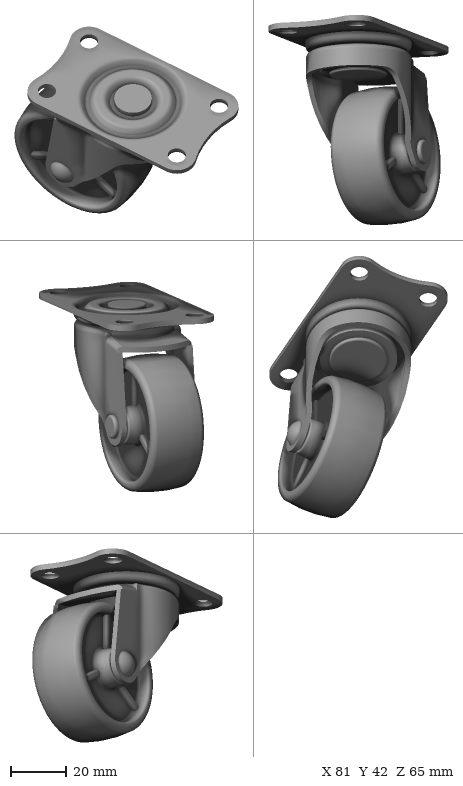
import cadquery as cq
import math


total_height = 65.0
sheet = 2.0
wheel_radius = 25.0
wheel_x = -21.0
wheel_z = wheel_radius
far = 100.0
front_limit = -far / 2

plate_width = 42.0
hole_x = 28.0
hole_y = 14.0
hole_radius = 3.3
corner_radius = plate_width / 2 - hole_y
waist_half_length = 32.6
plate_bottom = total_height - sheet
trench_outer = 20.1
trench_inner = 12.9
well_outer = 11.15
pressed_wall_angle = 45.0
wall_bend_width = 1.45
wall_width = 1.4
plate_boss_radius = 19.4
plate_boss_taper = 8.0
plate_boss_bend = 1.9
plate_boss_bottom = 59.65

tower_radius = 19.0
tower_top = 58.9
tower_bend = 1.9
neck_front = -14.25
neck_inner_front = neck_front + sheet / 2
leg_half_width = 15.0
leg_blend = 4.0
leg_end_radius = 7.0
leg_front_top = (-24.3, 53.0)
rear_edge_angle = 53.8
lip_z = 50.6
lip_blend = 8.0
roof_angle = 10.0
roof_ref = (-24.6, 54.85)
roof_bend = 2.0
roof_nose_x = -26.9
roof_nose_radius = 34.0
boss_radius = 14.0
boss_bottom = 51.7

pin_radius = 6.8
race_major = 11.9
race_minor = 2.4
race_z = plate_bottom - race_minor
pin_flange_radius = 10.5
pin_flange_bottom = 50.6
pin_flange_bend = 0.7

axle_radius = 3.3
dome_radius = 4.8
dome_height = 2.7
button_radius = 4.35
button_height = 1.6
button_bend = 0.9

wheel_half_width = 10.54
tread_half_width = 8.84
tread_edge_radius = 24.2
rim_face_outer = 22.2
rim_face_inner = 21.5
rim_wall_top = 20.5
rim_wall_bottom = 20.3
web_outer = 19.36
web_half = 5.75
hub_root = 8.4
hub_base = 7.3
hub_radius = 6.75
hub_half_width = 12.15
hub_bend = 0.7
rib_width = 3.0
rib_top = 7.6
rib_top_bend = 1.0
rib_angles = (90, 210, 330)

QUARTER = math.sqrt(0.5)


def quarter_mid(center, radius, sign_a, sign_b):
    """Middle point of a quarter arc lying in the quadrant given by the signs."""
    return (center[0] + sign_a * radius * QUARTER, center[1] + sign_b * radius * QUARTER)


def cylinder(radius, bottom, top):
    """Cylinder on the swivel axis."""
    return cq.Workplane("XY").workplane(offset=bottom).circle(radius).extrude(top - bottom)


def bearing_ring():
    """Torus of the swivel bearing."""
    return (
        cq.Workplane("XZ")
        .center(race_major, race_z)
        .circle(race_minor)
        .revolve(360, (-race_major, 0), (-race_major, 1))
    )


def plate_blank():
    """Flat plate with round corners and hollow ends tangent to the corners."""
    reach = hole_x - waist_half_length
    waist_radius = (corner_radius**2 - reach**2 - hole_y**2) / (-2 * (reach + corner_radius))
    waist_center = waist_half_length + waist_radius
    share = corner_radius / (corner_radius + waist_radius)
    tangent_x = hole_x + (waist_center - hole_x) * share
    tangent_y = hole_y * (1 - share)
    lean = (math.pi / 2 - math.atan2(hole_y, waist_center - hole_x)) / 2
    corner_x = hole_x + corner_radius * math.sin(lean)
    corner_y = hole_y + corner_radius * math.cos(lean)
    edge_y = plate_width / 2
    outline = (
        cq.Workplane("XY")
        .workplane(offset=plate_bottom)
        .moveTo(-hole_x, edge_y)
        .lineTo(hole_x, edge_y)
        .threePointArc((corner_x, corner_y), (tangent_x, tangent_y))
        .threePointArc((waist_half_length, 0), (tangent_x, -tangent_y))
        .threePointArc((corner_x, -corner_y), (hole_x, -edge_y))
        .lineTo(-hole_x, -edge_y)
        .threePointArc((-corner_x, -corner_y), (-tangent_x, -tangent_y))
        .threePointArc((-waist_half_length, 0), (-tangent_x, tangent_y))
        .threePointArc((-corner_x, corner_y), (-hole_x, edge_y))
        .close()
    )
    return outline.extrude(sheet)


def plate_boss():
    """Pressed boss below the plate, tapered and with a rounded bottom edge."""
    boss = (
        cq.Workplane("XY")
        .workplane(offset=plate_bottom)
        .circle(plate_boss_radius)
        .extrude(plate_boss_bottom - plate_bottom, taper=plate_boss_taper)
    )
    return boss.faces("<Z").edges().fillet(plate_boss_bend)


def pressed_wall(edge, direction):
    """Points of a pressed wall: upper edge, middle and end of its bend, and foot of its slope."""
    slope = math.radians(pressed_wall_angle)
    radius = wall_bend_width / math.sin(slope)

    def on_bend(turn):
        drop = radius * (1 - math.cos(turn))
        return (edge + direction * radius * math.sin(turn), total_height - drop)

    bend_end = on_bend(slope)
    foot = (bend_end[0] + direction * wall_width, bend_end[1] - wall_width * math.tan(slope))
    return (edge, total_height), on_bend(slope / 2), bend_end, foot


def plate_trench():
    """Ring-shaped hollow with sloping walls on both sides."""
    inner_edge, inner_mid, inner_end, inner_foot = pressed_wall(trench_inner, 1)
    outer_edge, outer_mid, outer_end, outer_foot = pressed_wall(trench_outer, -1)
    profile = (
        cq.Workplane("XZ")
        .moveTo(*inner_edge)
        .threePointArc(inner_mid, inner_end)
        .lineTo(*inner_foot)
        .lineTo(*outer_foot)
        .lineTo(*outer_end)
        .threePointArc(outer_mid, outer_edge)
        .close()
    )
    return profile.revolve(360, (0, 0), (0, 1))


def plate_well():
    """Round hollow with a sloping wall around the swivel pin."""
    edge, bend_mid, bend_end, foot = pressed_wall(well_outer, -1)
    profile = (
        cq.Workplane("XZ")
        .moveTo(0, total_height)
        .lineTo(*edge)
        .threePointArc(bend_mid, bend_end)
        .lineTo(*foot)
        .lineTo(0, foot[1])
        .close()
    )
    return profile.revolve(360, (0, 0), (0, 1))


def make_plate():
    corners = [(sx * hole_x, sy * hole_y) for sx in (-1, 1) for sy in (-1, 1)]
    holes = (
        cq.Workplane("XY")
        .workplane(offset=plate_bottom)
        .pushPoints(corners)
        .circle(hole_radius)
        .extrude(sheet)
    )
    race_groove = cylinder(race_major + race_minor, plate_boss_bottom, race_z).cut(
        cylinder(race_major - race_minor, plate_boss_bottom, race_z)
    )
    plate = plate_blank().union(plate_boss())
    for hollow in (
        holes,
        plate_trench(),
        plate_well(),
        race_groove,
        bearing_ring(),
        cylinder(pin_radius, plate_boss_bottom, total_height),
    ):
        plate = plate.cut(hollow)
    return plate


def tower_block(inset, front, top):
    """Tower with the start of both legs, its walls moved inward by the inset."""
    radius = tower_radius - inset
    half_width = leg_half_width - inset
    blend_y = leg_half_width + leg_blend
    blend_reach = tower_radius + leg_blend
    blend_x = -math.sqrt(blend_reach**2 - blend_y**2)
    blend_radius = leg_blend + inset
    circle_point = (blend_x * radius / blend_reach, blend_y * radius / blend_reach)
    turn = math.acos(blend_y / blend_reach) / 2
    blend_mid = (blend_x + blend_radius * math.sin(turn), blend_y - blend_radius * math.cos(turn))
    outline = (
        cq.Workplane("XY")
        .moveTo(front, -half_width)
        .lineTo(blend_x, -half_width)
        .threePointArc((blend_mid[0], -blend_mid[1]), (circle_point[0], -circle_point[1]))
        .threePointArc((radius, 0), circle_point)
        .threePointArc(blend_mid, (blend_x, half_width))
        .lineTo(front, half_width)
        .close()
    )
    return outline.extrude(top).union(cylinder(radius, 0, top))


def roof_block(inset):
    """Block under the sloping roof, from its nose back into the tower."""
    block = (
        cq.Workplane("XY")
        .box(far, 2 * (leg_half_width - inset), far, centered=(False, True, False))
        .translate((-far, 0, -far - inset))
    )
    if inset == 0:
        block = block.edges("|X and >Z").fillet(roof_bend)
    slope = math.radians(roof_angle)
    back = (neck_inner_front - roof_ref[0]) / math.cos(slope)
    return (
        block.translate((back, 0, 0))
        .rotate((0, 0, 0), (0, 1, 0), -roof_angle)
        .translate((roof_ref[0], 0, roof_ref[1]))
    )


def roof_underside(x):
    slope = math.radians(roof_angle)
    return roof_ref[1] - sheet / math.cos(slope) + (x - roof_ref[0]) * math.tan(slope)


def side_profile():
    """Side shape of the fork: legs narrowing to the axle and a raised lip at the rear."""
    top_dx = leg_front_top[0] - wheel_x
    top_dz = leg_front_top[1] - wheel_z
    front_angle = math.atan2(top_dz, top_dx) + math.acos(leg_end_radius / math.hypot(top_dx, top_dz))
    rear_slope = math.radians(rear_edge_angle)
    rear_angle = rear_slope - math.pi / 2

    def on_leg_end(angle):
        return (wheel_x + leg_end_radius * math.cos(angle), wheel_z + leg_end_radius * math.sin(angle))

    front_tangent = on_leg_end(front_angle)
    rear_tangent = on_leg_end(rear_angle)
    bottom = (wheel_x, wheel_z - leg_end_radius)

    lip_corner_x = rear_tangent[0] + (lip_z - rear_tangent[1]) / math.tan(rear_slope)
    lip_setback = lip_blend * math.tan(rear_slope / 2)
    lip_start = (
        lip_corner_x - lip_setback * math.cos(rear_slope),
        lip_z - lip_setback * math.sin(rear_slope),
    )
    lip_center = (lip_corner_x + lip_setback, lip_z - lip_blend)
    lip_mid = (
        lip_center[0] - lip_blend * math.sin(rear_slope / 2),
        lip_center[1] + lip_blend * math.cos(rear_slope / 2),
    )
    profile = (
        cq.Workplane("XZ")
        .moveTo(front_limit, roof_underside(front_limit))
        .lineTo(leg_front_top[0], roof_underside(leg_front_top[0]))
        .lineTo(*front_tangent)
        .threePointArc(bottom, rear_tangent)
        .lineTo(*lip_start)
        .threePointArc(lip_mid, (lip_center[0], lip_z))
        .lineTo(far, lip_z)
        .lineTo(far, total_height)
        .lineTo(front_limit, total_height)
        .close()
    )
    return profile.extrude(far / 2, both=True)


def roof_nose_waste():
    """Material in front of the bowed front edge of the roof."""
    wedge = (
        cq.Workplane("XZ")
        .moveTo(front_limit, roof_underside(front_limit))
        .lineTo(neck_front, roof_underside(neck_front))
        .lineTo(neck_front, total_height)
        .lineTo(front_limit, total_height)
        .close()
        .extrude(far / 2, both=True)
    )
    bow = cylinder(roof_nose_radius, 0, total_height).translate((roof_nose_x + roof_nose_radius, 0, 0))
    return wedge.cut(bow)


def make_fork():
    tower = tower_block(0, neck_front, tower_top).faces(">Z").edges().fillet(tower_bend)
    outside = tower.union(roof_block(0))
    inside = tower_block(sheet, neck_inner_front, tower_top - sheet).union(roof_block(sheet))
    fork = outside.cut(inside).intersect(side_profile()).cut(roof_nose_waste())
    fork = fork.union(cylinder(boss_radius, boss_bottom, tower_top))
    fork = fork.cut(cylinder(pin_radius, boss_bottom, tower_top)).cut(bearing_ring())
    return fork.cut(axle_cylinder(axle_radius, -leg_half_width, leg_half_width))


def make_swivel_pin():
    """Stem through plate and fork, with a bearing ring in the gap and a rivet flange below."""
    stem = cylinder(pin_radius, pin_flange_bottom, total_height)
    gap_disc = cylinder(race_major, tower_top, plate_boss_bottom)
    flange = cylinder(pin_flange_radius, pin_flange_bottom, boss_bottom)
    flange = flange.faces("<Z").edges().fillet(pin_flange_bend)
    return stem.union(gap_disc).union(bearing_ring()).union(flange)


def axle_cylinder(radius, start, end):
    """Cylinder along Y on the wheel axis."""
    return (
        cq.Workplane("XZ", origin=(wheel_x, start, wheel_z)).circle(radius).extrude(start - end)
    )


def make_axle():
    """Rivet with a domed head on the -Y side and a flat button on the +Y side."""
    shaft = axle_cylinder(axle_radius, -leg_half_width, leg_half_width)
    button = axle_cylinder(button_radius, leg_half_width, leg_half_width + button_height)
    button = button.faces(">Y").edges().fillet(button_bend)
    sphere_radius = (dome_radius**2 + dome_height**2) / (2 * dome_height)
    half_angle = math.asin(dome_radius / sphere_radius) / 2
    dome_mid = (
        sphere_radius * math.sin(half_angle),
        dome_height - sphere_radius * (1 - math.cos(half_angle)),
    )
    dome = (
        cq.Workplane("XY")
        .lineTo(dome_radius, 0)
        .threePointArc((dome_mid[0], -dome_mid[1]), (0, -dome_height))
        .close()
        .revolve(360, (0, 0), (0, 1))
        .translate((wheel_x, -leg_half_width, wheel_z))
    )
    return shaft.union(button).union(dome)


def wheel_barrel():
    """Solid drum with a crowned tread and rounded edges, its axis along Y."""
    face_edge = (rim_face_outer, wheel_half_width)
    tread_edge = (tread_edge_radius, tread_half_width)
    edge_mid = quarter_mid(
        (rim_face_outer, tread_half_width), wheel_half_width - tread_half_width, 1, 1
    )
    profile = (
        cq.Workplane("XY")
        .moveTo(0, -wheel_half_width)
        .lineTo(face_edge[0], -face_edge[1])
        .threePointArc((edge_mid[0], -edge_mid[1]), (tread_edge[0], -tread_edge[1]))
        .threePointArc((wheel_radius, 0), tread_edge)
        .threePointArc(edge_mid, face_edge)
        .lineTo(0, wheel_half_width)
        .close()
    )
    return profile.revolve(360, (0, 0), (0, 1))


def rim_recess():
    """Hollow between the rim and the web on the +Y side."""
    web_fillet = rim_wall_bottom - web_outer
    rim_fillet = rim_face_inner - rim_wall_top
    web_center = (web_outer, web_half + web_fillet)
    rim_center = (rim_face_inner, wheel_half_width - rim_fillet)
    profile = (
        cq.Workplane("XY")
        .moveTo(0, web_half)
        .lineTo(web_outer, web_half)
        .threePointArc(quarter_mid(web_center, web_fillet, 1, -1), (rim_wall_bottom, web_center[1]))
        .lineTo(rim_wall_top, rim_center[1])
        .threePointArc(quarter_mid(rim_center, rim_fillet, -1, 1), (rim_face_inner, wheel_half_width))
        .lineTo(0, wheel_half_width)
        .close()
    )
    return profile.revolve(360, (0, 0), (0, 1))


def hub():
    """Tapered hub with a rounded root and a rounded end, on the +Y side."""
    root_fillet = hub_root - hub_base
    root_center = (hub_root, web_half + root_fillet)
    end_center = (hub_radius - hub_bend, hub_half_width - hub_bend)
    profile = (
        cq.Workplane("XY")
        .lineTo(hub_root, 0)
        .lineTo(hub_root, web_half)
        .threePointArc(quarter_mid(root_center, root_fillet, -1, -1), (hub_base, root_center[1]))
        .lineTo(hub_radius, end_center[1])
        .threePointArc(quarter_mid(end_center, hub_bend, 1, 1), (end_center[0], hub_half_width))
        .lineTo(0, hub_half_width)
        .close()
    )
    return profile.revolve(360, (0, 0), (0, 1))


def rib(angle):
    """Round-topped spoke from hub to rim, on the +Y side of the web."""
    start = hub_radius - hub_bend
    length = rim_wall_top - start
    spoke = (
        cq.Workplane("XY")
        .box(rib_width, rib_top, length, centered=(True, False, False))
        .edges("|Z and >Y")
        .fillet(rib_top_bend)
        .translate((0, 0, start))
    )
    return spoke.rotate((0, 0, 0), (0, 1, 0), 90 - angle)


def make_wheel():
    side = hub()
    for angle in rib_angles:
        side = side.union(rib(angle))
    recess = rim_recess()
    wheel = wheel_barrel().cut(recess).cut(recess.mirror("XZ"))
    wheel = wheel.union(side).union(side.mirror("XZ")).translate((wheel_x, 0, wheel_z))
    return wheel.cut(axle_cylinder(axle_radius, -hub_half_width, hub_half_width))


plate = make_plate()
fork = make_fork()
swivel_pin = make_swivel_pin()
axle = make_axle()
wheel = make_wheel()

bodies = (plate, fork, swivel_pin, axle, wheel)
result = cq.Compound.makeCompound([body.solids().val() for body in bodies])